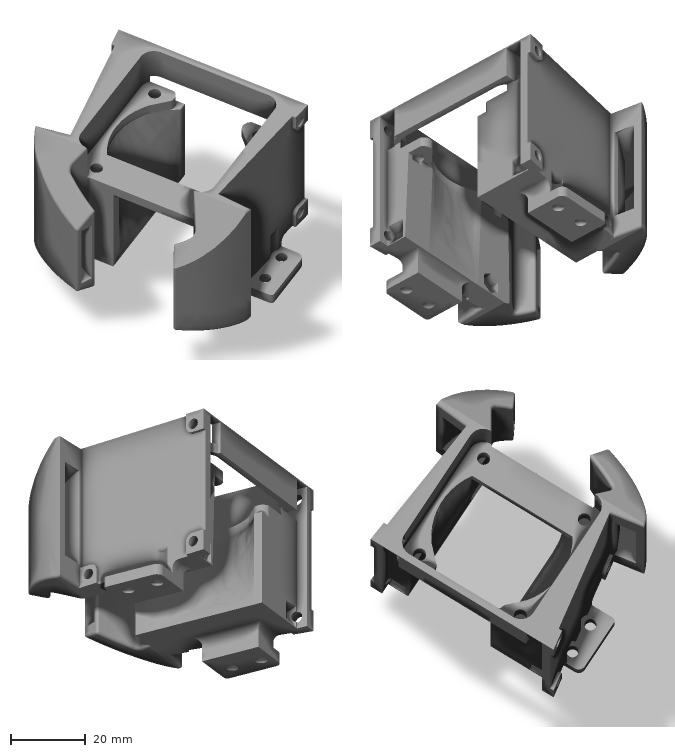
import cadquery as cq
import math

EPS = 0.3
FAR = 78.8

REAR_Y = 22.45
FRONT_Y = -20.0
BODY_DEPTH = 41.95
LEFT_REAR_X = -29.6
RIGHT_REAR_X = 26.4
LEFT_TAPER = 0.17
RIGHT_TAPER = 0.088

POCKET_SIZE = 40.95
POCKET_RADIUS = 4.0
PLATE_TOP = -11.55
PLATE_BOTTOM = -14.5
BLOCK_REAR_Y = 19.35
STRIP_BOTTOM = -9.5
OPENING_RADIUS = 19.0
OPENING_FRONT_Y = -10.25
OPENING_ARC_X = 15.15
LUG_FLANK_END = (10.8, 15.75)
LUG_TIP = (10.5, 17.4)
LUG_REAR_X = 12.0
FAN_PITCH = 32.0
FAN_HOLE_DIAMETER = 3.5
FAN_HOLE_OVERRUN = 1.3

PASSAGE_FRONT_Y = -24.95
PASSAGE_LEFT_X = -8.6
PASSAGE_RIGHT_TOP_X = 16.3
PASSAGE_RIGHT_X = 17.5

PAD_LENGTH = 5.8
PAD_HEIGHT = 6.0
PAD_THICKNESS = 1.05
PAD_CORNER_RADIUS = 2.0
PAD_HOLE_DIAMETER = 3.0
REAR_HOLE_Y = 19.1
FRONT_HOLE_Y = -15.3
UPPER_HOLE_Z = -3.6
LOWER_HOLE_Z = -38.6
FRONT_PAD_REAR_Y = -12.75
NUT_CORNERS = 6.4
WALL_THICKNESS = 2.55
NUT_POCKET_DEPTH = 5.2
CORNER_WEB = 1.65

FOOT_BOTTOM = -48.5
FOOT_THICKNESS = 3.1
FOOT_OUTER_X = 32.4
FOOT_INNER_X = 19.8
FOOT_REAR_Y = 11.6
FOOT_FRONT_Y = -5.9
FOOT_REAR_RADIUS = 2.0
FOOT_FRONT_RADIUS = 1.0
LEG_FLARE = 1.85
FOOT_HOLE_X = 27.45
FOOT_HOLE_YS = (7.95, -1.0)
FOOT_HOLE_DIAMETER = 3.2
RELIEF_RADIUS = 2.95
RELIEF_TOP = -36.55
RELIEF_LIP_RADIUS = 1.9

WING_SLOPE_Y = -20.5
WING_TOP_SLOPE = 0.86
WING_BOTTOM_SLOPE = 0.27
WING_END_Y = -39.4
WING_ROUND = 0.7
ELBOW_RADIUS = 1.3
WING_OUTER_EDGE = 16.4
DUCT_REAR_TOP = -7.15
DUCT_TIP_TOP = -15.05
DUCT_SLOPE_START_Y = -19.05
DUCT_SLOPE_END_Y = -31.5
DUCT_BOTTOM = -35.0

LEFT_WING = dict(
    back_wall=(-22.65, -18.05),
    back_outer=(-32.6, -19.7),
    outer_curve=[(-30.0, -24.75), (-26.85, -27.85), (-19.6, -32.8), (-10.25, -36.95)],
    tip_inner=(-7.6, -31.3),
    inner_mid=(-13.8, -28.5),
    elbow=(-19.25, -25.35),
    root=(-16.0, -20.0),
)
RIGHT_WING = dict(
    back_wall=(22.8, -18.05),
    back_outer=(33.0, -18.9),
    outer_curve=[(31.7, -23.6), (29.1, -28.3), (24.6, -33.2), (19.25, -36.9)],
    tip_inner=(16.5, -31.6),
    inner_mid=(19.0, -30.2),
    elbow=(21.3, -28.2),
    root=(16.0, -20.0),
)
LEFT_DUCT = dict(
    back_wall=(-24.75, -17.7),
    back_outer=(-30.6, -18.4),
    outer_curve=[(-25.15, -27.85), (-9.2, -35.65)],
    tip_inner=(-7.55, -32.8),
    inner_mid=(-14.3, -29.55),
    elbow=(-21.3, -25.6),
    root=(-24.1, -19.7),
)
RIGHT_DUCT = dict(
    back_wall=(24.75, -17.7),
    back_outer=(30.9, -17.7),
    outer_curve=[(27.6, -27.9), (18.3, -35.85)],
    tip_inner=(16.4, -33.15),
    inner_mid=(19.7, -31.25),
    elbow=(23.2, -28.55),
    root=(24.1, -19.7),
)


def wall_x(side, y):
    """X of the outer face of a side wall; side is -1 for left and +1 for right."""
    if side < 0:
        return LEFT_REAR_X + LEFT_TAPER * (REAR_Y - y)
    return RIGHT_REAR_X - RIGHT_TAPER * (REAR_Y - y)


def prism(outline, bottom, top):
    """Extrude an XY outline between two heights."""
    return outline.extrude(top - bottom).translate((0, 0, bottom))


def block(x0, x1, y0, y1, z0, z1):
    """Box between two opposite corners."""
    return cq.Workplane("XY").box(x1 - x0, y1 - y0, z1 - z0, centered=False).translate((x0, y0, z0))


def body_prism(bottom):
    """Tapered body outline from the top face down to a given height."""
    corners = [
        (wall_x(-1, REAR_Y), REAR_Y),
        (wall_x(1, REAR_Y), REAR_Y),
        (wall_x(1, FRONT_Y), FRONT_Y),
        (wall_x(-1, FRONT_Y), FRONT_Y),
    ]
    return prism(cq.Workplane("XY").polyline(corners).close(), bottom, 0)


def outward(side):
    """Direction square to a side wall, pointing away from the part."""
    return cq.Vector(side, -LEFT_TAPER if side < 0 else -RIGHT_TAPER, 0)


def pad(side, rear_y, front_y, bottom, rounded):
    """Raised screw pad following the tapered wall, with the selected corner rounded."""
    plate = block(-FAR, FAR, front_y, rear_y, bottom, bottom + PAD_HEIGHT)
    plate = plate.edges("|X").edges(rounded).fillet(PAD_CORNER_RADIUS)
    band = cq.Workplane("XY").polyline([
        (wall_x(side, rear_y) - side * EPS, rear_y),
        (wall_x(side, rear_y) + side * PAD_THICKNESS, rear_y),
        (wall_x(side, front_y) + side * PAD_THICKNESS, front_y),
        (wall_x(side, front_y) - side * EPS, front_y),
    ]).close()
    return plate.intersect(prism(band, -BODY_DEPTH, 0))


def pads(side):
    """Two pads at the rear of a side wall and one at its lower front."""
    rear_front_y = REAR_Y - PAD_LENGTH
    upper = pad(side, REAR_Y, rear_front_y, -PAD_HEIGHT, "<Y and <Z")
    lower = pad(side, REAR_Y, rear_front_y, -BODY_DEPTH, "<Y and >Z")
    front = pad(side, FRONT_PAD_REAR_Y, FRONT_PAD_REAR_Y - PAD_LENGTH, -BODY_DEPTH, ">Y and >Z")
    return upper.union(lower).union(front)


def screw_cuts(side):
    """Screw holes square to the wall, hexagon nut traps and the upper nut slot."""
    cuts = cq.Workplane("XY")
    for y, z in ((REAR_HOLE_Y, UPPER_HOLE_Z), (REAR_HOLE_Y, LOWER_HOLE_Z), (FRONT_HOLE_Y, LOWER_HOLE_Z)):
        wall_point = (wall_x(side, y), y, z)
        frame = cq.Workplane(cq.Plane(wall_point, (0, 0, 1), outward(side).toTuple()))
        hole = frame.workplane(offset=-2 * WALL_THICKNESS).circle(PAD_HOLE_DIAMETER / 2)
        cuts = cuts.add(hole.extrude(3 * WALL_THICKNESS))
        if z == LOWER_HOLE_Z:
            trap = frame.workplane(offset=-WALL_THICKNESS).polygon(6, NUT_CORNERS)
            cuts = cuts.add(trap.extrude(-NUT_POCKET_DEPTH))
    slot_outer_x = abs(wall_x(side, REAR_Y)) - WALL_THICKNESS
    slot_inner_x = slot_outer_x - NUT_POCKET_DEPTH
    slot_front_y = REAR_HOLE_Y - NUT_CORNERS / 2
    slot_top = UPPER_HOLE_Z + NUT_CORNERS / 2
    slot = block(slot_inner_x, slot_outer_x, slot_front_y, REAR_Y + EPS, slot_top - NUT_CORNERS, slot_top)
    channel = block(slot_inner_x, slot_outer_x, slot_front_y, REAR_Y + EPS, STRIP_BOTTOM - EPS, slot_top)
    corner = POCKET_SIZE / 2 - POCKET_RADIUS
    web = cq.Workplane("XY").center(corner, corner).circle(POCKET_RADIUS + CORNER_WEB)
    slot = slot.union(channel.cut(prism(web, STRIP_BOTTOM - 2 * EPS, 0)))
    cuts = cuts.add(slot if side > 0 else slot.mirror("YZ"))
    return cuts.combine()


def foot(side):
    """Leg flared into the body, with an outward tab."""
    leg_top = -BODY_DEPTH
    mid = LEG_FLARE * (1 - math.sqrt(0.5))
    along_y = (
        cq.Workplane("YZ").moveTo(FOOT_FRONT_Y, FOOT_BOTTOM).lineTo(FOOT_REAR_Y, FOOT_BOTTOM)
        .lineTo(FOOT_REAR_Y, leg_top - LEG_FLARE)
        .threePointArc((FOOT_REAR_Y + mid, leg_top - mid), (FOOT_REAR_Y + LEG_FLARE, leg_top))
        .lineTo(FOOT_FRONT_Y - LEG_FLARE, leg_top)
        .threePointArc((FOOT_FRONT_Y - mid, leg_top - mid), (FOOT_FRONT_Y, leg_top - LEG_FLARE))
        .close().extrude(FAR, both=True)
    )
    inner = FOOT_INNER_X
    along_x = (
        cq.Workplane("XZ").moveTo(side * FAR, FOOT_BOTTOM).lineTo(side * inner, FOOT_BOTTOM)
        .lineTo(side * inner, leg_top - LEG_FLARE)
        .threePointArc((side * (inner - mid), leg_top - mid), (side * (inner - LEG_FLARE), leg_top))
        .lineTo(side * FAR, leg_top).close().extrude(FAR, both=True)
    )
    leg = body_prism(FOOT_BOTTOM).intersect(along_y).intersect(along_x)
    tab = block(inner, FOOT_OUTER_X, FOOT_FRONT_Y, FOOT_REAR_Y, FOOT_BOTTOM, FOOT_BOTTOM + FOOT_THICKNESS)
    tab = tab.edges("|Z and >X and >Y").fillet(FOOT_REAR_RADIUS)
    tab = tab.edges("|Z and >X and <Y").fillet(FOOT_FRONT_RADIUS)
    return leg.union(tab if side > 0 else tab.mirror("YZ"))


def foot_cuts(side):
    """Foot screw holes and the upright screwdriver reliefs above them."""
    cuts = cq.Workplane("XY")
    tab_top = FOOT_BOTTOM + FOOT_THICKNESS
    lip_bottom = RELIEF_TOP - RELIEF_LIP_RADIUS
    lip_drop = RELIEF_LIP_RADIUS * math.sqrt(0.5)
    lip_inset = RELIEF_LIP_RADIUS - lip_drop
    for y in FOOT_HOLE_YS:
        centre = cq.Workplane("XY").center(side * FOOT_HOLE_X, y)
        cuts = cuts.add(prism(centre.circle(FOOT_HOLE_DIAMETER / 2), FOOT_BOTTOM - EPS, tab_top + EPS))
        along = outward(side).cross(cq.Vector(0, 0, 1)).toTuple()
        wall_axes = cq.Plane((wall_x(side, y), y, 0), outward(side).toTuple(), along)
        rounded_top = (
            cq.Workplane(wall_axes).moveTo(-FAR, tab_top).lineTo(FAR, tab_top).lineTo(FAR, RELIEF_TOP)
            .lineTo(0, RELIEF_TOP)
            .threePointArc((-lip_inset, RELIEF_TOP - lip_drop), (-RELIEF_LIP_RADIUS, lip_bottom))
            .lineTo(-FAR, lip_bottom).close().extrude(FAR, both=True)
        )
        cuts = cuts.add(prism(centre.circle(RELIEF_RADIUS), tab_top, RELIEF_TOP).intersect(rounded_top))
    return cuts.combine()


def wing_outline(back_wall, back_outer, outer_curve, tip_inner, inner_mid, elbow, root):
    """Plan outline from the wall around the outer curve, the tip and the inner side to the root."""
    return (
        cq.Workplane("XY").moveTo(*back_wall).lineTo(*back_outer)
        .spline(outer_curve, includeCurrent=True).lineTo(*tip_inner)
        .threePointArc(inner_mid, elbow).lineTo(*root).lineTo(root[0], back_wall[1]).close()
    )


def wing(outline, sharp_outer_top):
    """Upright curved blade with sloping top and bottom and rounded rims."""
    blade = prism(wing_outline(**outline), -BODY_DEPTH, 0)
    elbow_x, elbow_y = outline["elbow"]
    near_elbow = cq.selectors.BoxSelector(
        (elbow_x - EPS, elbow_y - EPS, -FAR), (elbow_x + EPS, elbow_y + EPS, FAR)
    )
    blade = blade.edges("|Z").edges(near_elbow).fillet(ELBOW_RADIUS)
    run = WING_SLOPE_Y - WING_END_Y
    side_profile = (
        cq.Workplane("YZ")
        .polyline([(0, 0), (WING_SLOPE_Y, 0), (WING_END_Y, -run * WING_TOP_SLOPE),
                   (WING_END_Y, -BODY_DEPTH + run * WING_BOTTOM_SLOPE),
                   (WING_SLOPE_Y, -BODY_DEPTH), (0, -BODY_DEPTH)])
        .close().extrude(FAR, both=True)
    )
    blade = blade.intersect(side_profile)

    def is_rounded(edge):
        centre = edge.Center()
        is_upright = edge.geomType() == "LINE" and abs(edge.tangentAt(0).z) > 0.99
        if is_upright:
            return centre.y < outline["tip_inner"][1] + EPS
        if sharp_outer_top and centre.z > -BODY_DEPTH / 2 and edge.Length() > WING_OUTER_EDGE:
            return False
        is_slope_start = abs(centre.y - WING_SLOPE_Y) < 0.005
        return not is_slope_start

    rims = [edge for edge in blade.edges().vals() if is_rounded(edge)]
    return blade.newObject(rims).fillet(WING_ROUND)


def duct(outline):
    """Air slot entering the back of a wing and leaving at its tip."""
    side_profile = (
        cq.Workplane("YZ")
        .polyline([(0, DUCT_REAR_TOP), (DUCT_SLOPE_START_Y, DUCT_REAR_TOP),
                   (DUCT_SLOPE_END_Y, DUCT_TIP_TOP), (WING_END_Y, DUCT_TIP_TOP),
                   (WING_END_Y, DUCT_BOTTOM), (0, DUCT_BOTTOM)])
        .close().extrude(FAR, both=True)
    )
    return prism(wing_outline(**outline), -BODY_DEPTH, 0).intersect(side_profile)


def fan_pocket():
    """Square fan recess open at the top and front."""
    pocket = cq.Workplane("XY").rect(POCKET_SIZE, POCKET_SIZE)
    return prism(pocket, PLATE_TOP, EPS).edges("|Z").fillet(POCKET_RADIUS)


def plate_opening():
    """Round fan opening, cut straight at the front and open at the rear between two lugs."""
    x_front = math.sqrt(OPENING_RADIUS**2 - OPENING_FRONT_Y**2)
    arc_x = OPENING_ARC_X
    arc_y = math.sqrt(OPENING_RADIUS**2 - arc_x**2)
    flank_x, flank_y = LUG_FLANK_END
    tip_x, tip_y = LUG_TIP
    outline = (
        cq.Workplane("XY").moveTo(-x_front, OPENING_FRONT_Y).lineTo(x_front, OPENING_FRONT_Y)
        .threePointArc((OPENING_RADIUS, 0), (arc_x, arc_y)).lineTo(flank_x, flank_y)
        .threePointArc((tip_x, tip_y), (LUG_REAR_X, BLOCK_REAR_Y)).lineTo(-LUG_REAR_X, BLOCK_REAR_Y)
        .threePointArc((-tip_x, tip_y), (-flank_x, flank_y)).lineTo(-arc_x, arc_y)
        .threePointArc((-OPENING_RADIUS, 0), (-x_front, OPENING_FRONT_Y)).close()
    )
    return prism(outline, PLATE_BOTTOM - EPS, PLATE_TOP + EPS)


def air_passage():
    """Ruled passage from the round fan opening above to a straight-sided exit below."""
    rear = BLOCK_REAR_Y + EPS
    right_x = PASSAGE_RIGHT_TOP_X
    right_y = math.sqrt(OPENING_RADIUS**2 - right_x**2)
    left_x = PASSAGE_LEFT_X
    left_y = math.sqrt(OPENING_RADIUS**2 - left_x**2)
    top = (
        cq.Workplane("XY").workplane(offset=PLATE_BOTTOM)
        .moveTo(left_x, PASSAGE_FRONT_Y).lineTo(right_x, PASSAGE_FRONT_Y).lineTo(right_x, -right_y)
        .threePointArc((OPENING_RADIUS, 0), (right_x, right_y)).lineTo(right_x, rear)
        .lineTo(left_x, rear).lineTo(left_x, left_y)
        .threePointArc((-OPENING_RADIUS, 0), (left_x, -left_y)).close()
    )
    exit_x = PASSAGE_RIGHT_X
    bottom = cq.Workplane("XY").workplane(offset=-BODY_DEPTH).polyline([
        (left_x, PASSAGE_FRONT_Y), (exit_x, PASSAGE_FRONT_Y), (exit_x, -right_y), (exit_x, right_y),
        (exit_x, rear), (left_x, rear), (left_x, left_y), (left_x, -left_y),
    ]).close()
    return cq.Workplane(cq.Solid.makeLoft([top.wires().val(), bottom.wires().val()], True))


def rear_opening():
    """Wide opening in the rear wall below the top strip."""
    left = wall_x(-1, REAR_Y) + WALL_THICKNESS
    right = wall_x(1, REAR_Y) - WALL_THICKNESS
    return block(left, right, BLOCK_REAR_Y, REAR_Y + EPS, -BODY_DEPTH - EPS, STRIP_BOTTOM)


def fan_holes():
    """Four fan screw holes, running blind into the blocks below the plate."""
    holes = cq.Workplane("XY").rect(FAN_PITCH, FAN_PITCH, forConstruction=True).vertices()
    return prism(holes.circle(FAN_HOLE_DIAMETER / 2), PLATE_BOTTOM - FAN_HOLE_OVERRUN, PLATE_TOP + EPS)


part = body_prism(-BODY_DEPTH)
part = part.union(wing(LEFT_WING, sharp_outer_top=False))
part = part.union(wing(RIGHT_WING, sharp_outer_top=True))
for side in (-1, 1):
    part = part.union(pads(side)).union(foot(side))

for cutter in (fan_pocket(), plate_opening(), air_passage(), rear_opening(), fan_holes()):
    part = part.cut(cutter)
for duct_outline in (LEFT_DUCT, RIGHT_DUCT):
    part = part.cut(duct(duct_outline))
for side in (-1, 1):
    part = part.cut(screw_cuts(side)).cut(foot_cuts(side))

result = part